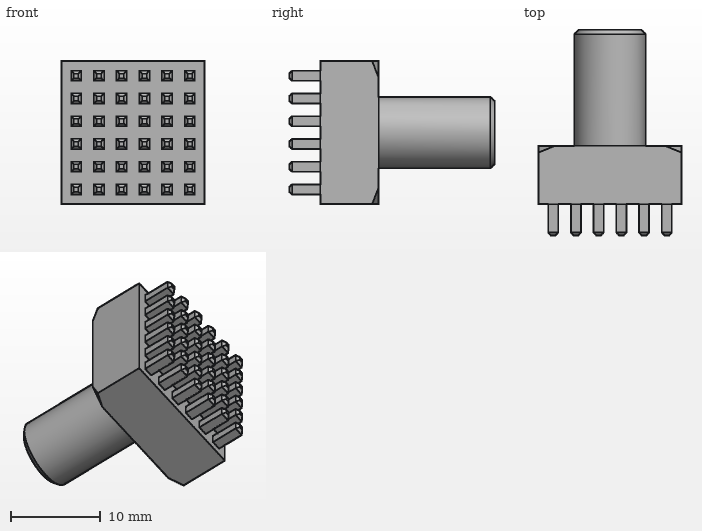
import cadquery as cq

block_side = 16.0
block_depth = 6.5

facet_side_leg = 1.85
facet_depth_leg = 0.74

stud_diameter = 8.0
stud_chamfer = 0.5

pins_per_side = 6
pin_row_span = 12.7
pin_pitch = pin_row_span / (pins_per_side - 1)
pin_width = 1.15
pin_tip_width = 0.5
pin_tip_length = 0.35
pin_length = 3.5

overall_length = 23
stud_length = overall_length - block_depth - pin_length

half_side = block_side / 2


def make_block():
    """Square block with the four rear corners still sharp."""
    return cq.Workplane("XY").box(
        block_side, block_depth, block_side, centered=(True, False, True)
    )


def make_corner_cutter(x_sign, z_sign):
    """Tetrahedron that removes one rear corner of the block."""
    corner = cq.Vector(x_sign * half_side, block_depth, z_sign * half_side)
    along_x = corner - cq.Vector(x_sign * facet_side_leg, 0, 0)
    along_y = corner - cq.Vector(0, facet_depth_leg, 0)
    along_z = corner - cq.Vector(0, 0, z_sign * facet_side_leg)
    triangles = [
        (corner, along_x, along_y),
        (corner, along_y, along_z),
        (corner, along_z, along_x),
        (along_x, along_y, along_z),
    ]
    faces = [
        cq.Face.makeFromWires(cq.Wire.makePolygon(list(points), close=True))
        for points in triangles
    ]
    return cq.Solid.makeSolid(cq.Shell.makeShell(faces)).fix()


def make_stud():
    """Round stud on the rear face, chamfered at its free end."""
    stud = (
        cq.Workplane("XZ", origin=(0, block_depth, 0))
        .circle(stud_diameter / 2)
        .extrude(-stud_length)
    )
    return stud.faces(">Y").chamfer(stud_chamfer)


def make_pin():
    """Single square pin with a tapered tip, standing on the XY plane."""
    shank_length = pin_length - pin_tip_length
    shank = cq.Workplane("XY").rect(pin_width, pin_width).extrude(shank_length)
    tip = (
        cq.Workplane("XY", origin=(0, 0, shank_length))
        .rect(pin_width, pin_width)
        .workplane(offset=pin_tip_length)
        .rect(pin_tip_width, pin_tip_width)
        .loft(ruled=True)
    )
    return shank.union(tip).val()


def make_pins():
    """Square grid of pins pointing from the front face toward -Y."""
    pin = make_pin()
    return (
        cq.Workplane("XZ")
        .rarray(pin_pitch, pin_pitch, pins_per_side, pins_per_side)
        .eachpoint(lambda location: pin.moved(location), useLocalCoordinates=True)
    )


block = make_block()
for x_sign in (-1, 1):
    for z_sign in (-1, 1):
        block = block.cut(cq.Workplane(make_corner_cutter(x_sign, z_sign)))

result = block.union(make_stud()).union(make_pins())